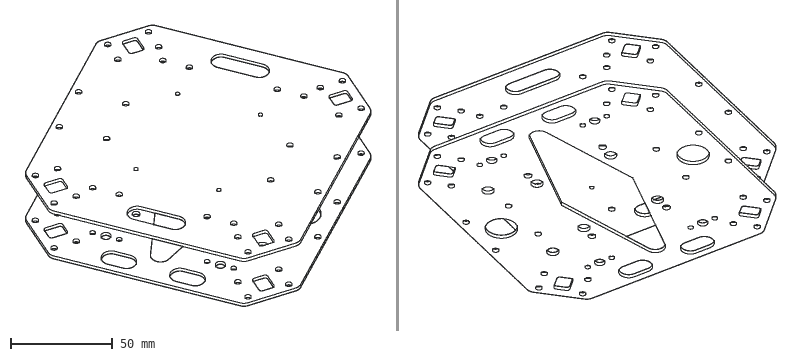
import cadquery as cq
import math

SIDE = 144.0
THICKNESS = 2.0
TOTAL_HEIGHT = 32.0
CORNER_CUT = 21.0
OUTLINE_RADIUS = 5.0

CORNER_CENTER = 54.5
CORNER_HOLE_RADIAL = 12.0
CORNER_HOLE_ACROSS = 22.0
WINDOW_RADIAL = 10.0
WINDOW_ACROSS = 8.0
WINDOW_RADIUS = 1.5

CLEARANCE_DIAMETER = 3.2
SIDE_HOLE_OUTER_X = 67.8
SIDE_HOLE_INNER_X = 43.0
SIDE_HOLE_Y = 13.5
PAIR_CENTER_X = 30.02
PAIR_SPACING = 14.0
PAIR_Y = 49.4
BOARD_HOLE_X = 21.7
BOARD_HOLE_Y = 29.2

UPPER_BOARD_DIAMETER = 2.2
HANDLE_LENGTH = 30.0
HANDLE_WIDTH = 10.0
HANDLE_Y = 59.0

LOWER_PAIR_DIAMETER = 2.7
PAIR_MIDDLE_DIAMETER = 5.0
LOWER_BOARD_DIAMETER = 3.7
CABLE_HOLE_DIAMETER = 16.0
CABLE_HOLE_X = 55.9
SLOT_LENGTH = 18.0
SLOT_WIDTH = 10.0
SLOT_X = 18.0
SLOT_Y = 63.4
INNER_HOLE_DIAMETER = 6.0
INNER_HOLE_OFFSET = 21.5
END_HOLE_X = 44.8
END_HOLE_Y = 29.7

OPENING_TIP_Y = 58.0
OPENING_TIP_RADIUS = 5.0
OPENING_HALF_ANGLE = math.radians(16.3)


def mirrored(x, y):
    """The point and its mirror images in both center planes."""
    return [(sx * x, sy * y) for sx in (-1, 1) for sy in (-1, 1)]


def cut_holes(plate, points, diameter):
    holes = cq.Workplane("XY").pushPoints(points).circle(diameter / 2).extrude(THICKNESS)
    return plate.cut(holes)


def cut_slots(plate, points, length, width):
    slots = cq.Workplane("XY").pushPoints(points).slot2D(length, width).extrude(THICKNESS)
    return plate.cut(slots)


def cut_corner_patterns(plate):
    window = (
        cq.Workplane("XY")
        .rect(WINDOW_RADIAL, WINDOW_ACROSS)
        .extrude(THICKNESS)
        .edges("|Z")
        .fillet(WINDOW_RADIUS)
    )
    holes = (
        cq.Workplane("XY")
        .rect(CORNER_HOLE_RADIAL, CORNER_HOLE_ACROSS, forConstruction=True)
        .vertices()
        .circle(CLEARANCE_DIAMETER / 2)
        .extrude(THICKNESS)
    )
    center_distance = CORNER_CENTER * math.sqrt(2)
    for angle in (45, 135, 225, 315):
        for cutter in (window, holes):
            placed = cutter.translate((center_distance, 0, 0)).rotate((0, 0, 0), (0, 0, 1), angle)
            plate = plate.cut(placed)
    return plate


def base_plate():
    """Octagonal plate with the windows and holes that both plates share."""
    plate = (
        cq.Workplane("XY")
        .rect(SIDE, SIDE)
        .extrude(THICKNESS)
        .edges("|Z")
        .chamfer(CORNER_CUT)
        .edges("|Z")
        .fillet(OUTLINE_RADIUS)
    )
    plate = cut_corner_patterns(plate)
    for x in (SIDE_HOLE_OUTER_X, SIDE_HOLE_INNER_X):
        plate = cut_holes(plate, mirrored(x, SIDE_HOLE_Y), CLEARANCE_DIAMETER)
    return plate


def cut_pair_holes(plate, diameter):
    for offset in (-PAIR_SPACING / 2, PAIR_SPACING / 2):
        plate = cut_holes(plate, mirrored(PAIR_CENTER_X + offset, PAIR_Y), diameter)
    return plate


def central_opening():
    tip_center_y = OPENING_TIP_Y - OPENING_TIP_RADIUS
    tangent_x = OPENING_TIP_RADIUS * math.cos(OPENING_HALF_ANGLE)
    tangent_y = tip_center_y + OPENING_TIP_RADIUS * math.sin(OPENING_HALF_ANGLE)
    middle_x = tangent_x + tangent_y * math.tan(OPENING_HALF_ANGLE)
    return (
        cq.Workplane("XY")
        .moveTo(middle_x, 0)
        .lineTo(tangent_x, tangent_y)
        .threePointArc((0, OPENING_TIP_Y), (-tangent_x, tangent_y))
        .lineTo(-middle_x, 0)
        .lineTo(-tangent_x, -tangent_y)
        .threePointArc((0, -OPENING_TIP_Y), (tangent_x, -tangent_y))
        .close()
        .extrude(THICKNESS)
    )


def make_upper_plate():
    plate = cut_pair_holes(base_plate(), CLEARANCE_DIAMETER)
    plate = cut_holes(plate, mirrored(BOARD_HOLE_X, BOARD_HOLE_Y), UPPER_BOARD_DIAMETER)
    plate = cut_slots(plate, [(0, -HANDLE_Y), (0, HANDLE_Y)], HANDLE_LENGTH, HANDLE_WIDTH)
    return plate.translate((0, 0, TOTAL_HEIGHT - THICKNESS))


def make_lower_plate():
    plate = cut_pair_holes(base_plate(), LOWER_PAIR_DIAMETER)
    plate = cut_holes(plate, mirrored(PAIR_CENTER_X, PAIR_Y), PAIR_MIDDLE_DIAMETER)
    plate = cut_holes(plate, mirrored(BOARD_HOLE_X, BOARD_HOLE_Y), LOWER_BOARD_DIAMETER)
    plate = cut_holes(plate, [(-CABLE_HOLE_X, 0), (CABLE_HOLE_X, 0)], CABLE_HOLE_DIAMETER)
    plate = cut_holes(plate, mirrored(INNER_HOLE_OFFSET, INNER_HOLE_OFFSET), INNER_HOLE_DIAMETER)
    plate = cut_holes(plate, [(END_HOLE_X, -END_HOLE_Y), (END_HOLE_X, END_HOLE_Y)], INNER_HOLE_DIAMETER)
    plate = cut_slots(plate, mirrored(SLOT_X, SLOT_Y), SLOT_LENGTH, SLOT_WIDTH)
    return plate.cut(central_opening())


upper_plate = make_upper_plate()
lower_plate = make_lower_plate()
result = cq.Compound.makeCompound([upper_plate.val(), lower_plate.val()])